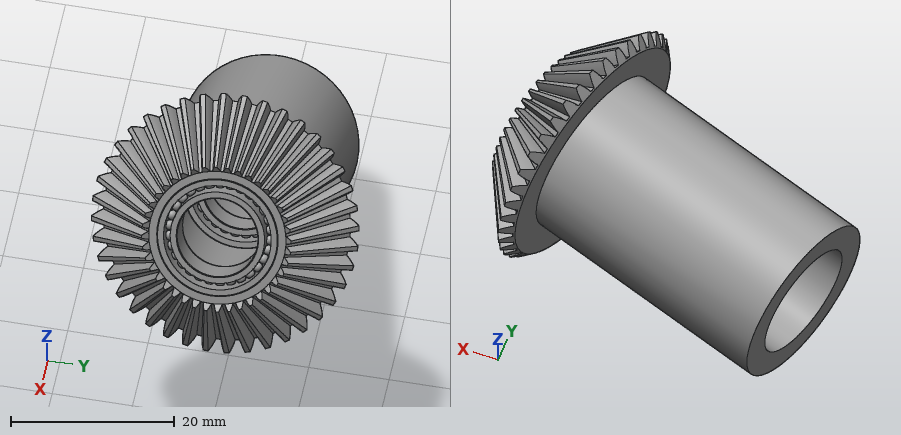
import cadquery as cq
import math

axis_rise = 2
axis_run = 3

tooth_count = 40
pitch_diameter = 32.0
pitch_cone_angle = math.radians(45)
pressure_angle = math.radians(20)
dedendum_factor = 1.25
face_width = 10.0
back_disc_diameter = 30.2
front_face_diameter = 17.0
space_phase = 2.25

sleeve_diameter = 22.0
sleeve_length = 33.1
bore_diameter = 15.0

bearing_bore = 10.0
inner_ring_diameter = 11.7
outer_ring_bore = 13.33
bearing_width = 4.45
ball_count = 30
ball_diameter = 1.25
ring_chamfer = 0.1
first_ball_angle = 90
rear_bearing_z = 16.15

module = pitch_diameter / tooth_count
pitch_radius = pitch_diameter / 2
dedendum = dedendum_factor * module
cutter_height = 1.2 * module
cutter_overshoot = 0.1
cone_distance = pitch_radius / math.sin(pitch_cone_angle)
inner_scale = (cone_distance - face_width) / cone_distance
cos_cone = math.cos(pitch_cone_angle)
sin_cone = math.sin(pitch_cone_angle)

spur_radius = pitch_radius / cos_cone
back_disc_radius = back_disc_diameter / 2
front_face_radius = front_face_diameter / 2
pitch_z = sleeve_length + (pitch_radius - back_disc_radius) * math.tan(pitch_cone_angle)
apex_z = pitch_z + cone_distance * cos_cone


def cone_point(scale, height):
    """(radius, z) at a height above the pitch cone, on the back cone shrunk toward the apex."""
    radius = scale * (pitch_radius + height * cos_cone)
    z = apex_z - scale * (cone_distance * cos_cone - height * sin_cone)
    return radius, z


inner_pitch_radius, inner_pitch_z = cone_point(inner_scale, 0)
front_face_z = inner_pitch_z - (inner_pitch_radius - front_face_radius) * math.tan(pitch_cone_angle)


def revolved(points):
    """Solid of revolution about Z from (radius, z) points."""
    return cq.Workplane("XZ").polyline(points).close().revolve(360, (0, 0, 0), (0, 1, 0))


def space_flank_point(height):
    """(half width, height) on the involute flank of a space of the equivalent spur gear."""
    radius = spur_radius + height
    local_pressure = math.acos(spur_radius * math.cos(pressure_angle) / radius)
    half_angle = (
        math.pi * module / 4 / spur_radius
        - (math.tan(pressure_angle) - pressure_angle)
        + (math.tan(local_pressure) - local_pressure)
    )
    return radius * math.sin(half_angle), radius * math.cos(half_angle) - spur_radius


def space_section(scale):
    """Closed outline of a tooth space, square to the pitch cone, shrunk toward the apex."""
    radius, z = cone_point(scale, 0)
    plane = cq.Plane((radius, 0, z), xDir=(0, 1, 0), normal=(sin_cone, 0, -cos_cone))
    root, middle, tip = [
        (scale * half_width, scale * height)
        for half_width, height in map(space_flank_point, (-dedendum, 0, cutter_height))
    ]

    def mirrored(point):
        return -point[0], point[1]

    return (
        cq.Workplane(plane)
        .moveTo(*root)
        .threePointArc(middle, tip)
        .lineTo(*mirrored(tip))
        .threePointArc(mirrored(middle), mirrored(root))
        .close()
        .val()
    )


def make_space():
    """Tapered cutter that overshoots both ends of the teeth."""
    large_end = space_section(1 + cutter_overshoot)
    small_end = space_section(inner_scale * (1 - cutter_overshoot))
    return cq.Solid.makeLoft([large_end, small_end], True)


def make_gear():
    blank = revolved([
        (bore_diameter / 2, 0),
        (sleeve_diameter / 2, 0),
        (sleeve_diameter / 2, sleeve_length),
        (back_disc_radius, sleeve_length),
        cone_point(1, module),
        cone_point(inner_scale, module),
        (front_face_radius, front_face_z),
        (bore_diameter / 2, front_face_z),
    ])
    space = make_space()
    pitch_step = 360 / tooth_count
    spaces = [
        space.rotate((0, 0, 0), (0, 0, 1), index * pitch_step + space_phase)
        for index in range(tooth_count)
    ]
    return cq.Workplane(blank.val().cut(*spaces))


def make_ring(seat_diameter, race_diameter):
    """Bearing ring with a small chamfer on both edges of its seating surface."""
    seat_radius = seat_diameter / 2
    race_radius = race_diameter / 2
    chamfer_radius = seat_radius + math.copysign(ring_chamfer, race_radius - seat_radius)
    return revolved([
        (race_radius, 0),
        (chamfer_radius, 0),
        (seat_radius, ring_chamfer),
        (seat_radius, bearing_width - ring_chamfer),
        (chamfer_radius, bearing_width),
        (race_radius, bearing_width),
    ])


def make_bearing():
    """One bearing with its back face at Z = 0: two rings joined by the balls between them."""
    outer_ring = make_ring(bore_diameter, outer_ring_bore)
    inner_ring = make_ring(bearing_bore, inner_ring_diameter)
    ball_circle_radius = (outer_ring_bore + inner_ring_diameter) / 4
    balls = (
        cq.Workplane(origin=(0, 0, bearing_width / 2))
        .polarArray(ball_circle_radius, first_ball_angle, 360, ball_count)
        .sphere(ball_diameter / 2)
    )
    return outer_ring.union(balls).union(inner_ring)


axis_tilt = math.degrees(math.atan2(axis_run, axis_rise))


def tilted(body):
    return body.rotate((0, 0, 0), (0, 1, 0), axis_tilt)


gear = tilted(make_gear())

front_bearing_z = front_face_z - bearing_width
bearing = make_bearing()
bearings = [
    tilted(bearing.translate((0, 0, back_face_z)))
    for back_face_z in (rear_bearing_z, front_bearing_z)
]

result = cq.Compound.makeCompound([
    gear.solids().val(),
    *[placed_bearing.solids().val() for placed_bearing in bearings],
])